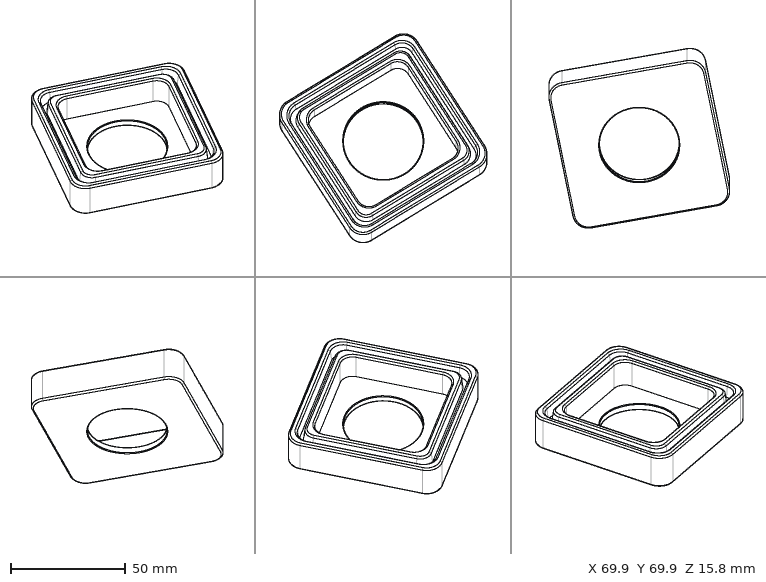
import cadquery as cq
import math

side = 69.85
height = 15.85
corner_radius = 7.0
edge_chamfer = 0.85

rim_width = 3.2
groove_floor_inset = 4.0
groove_outer_radius = 5.95
wall_foot_inset = 5.6
wall_top_inset = 6.3
wall_foot_radius = 5.7
groove_depth = 6.0

pocket_inset = 9.6
pocket_radius = 5.6
floor_thickness = 3.2
hole_diameter = 34.9
hole_chamfer = 0.35


def rounded_block(inset, radius, bottom, block_height, taper=0):
    """Rounded square block, set in from the outer sides; positive taper narrows it upward."""
    width = side - 2 * inset
    profile = cq.Sketch().rect(width, width).vertices().fillet(radius)
    return cq.Workplane("XY").workplane(offset=bottom).placeSketch(profile).extrude(block_height, taper=taper)


def make_groove():
    """Square ring leaning inward going down the rim side and outward going down the wall side."""
    floor_height = height - groove_depth
    outer_draft = math.degrees(math.atan((groove_floor_inset - rim_width) / groove_depth))
    wall_draft = math.degrees(math.atan((wall_top_inset - wall_foot_inset) / groove_depth))
    floor_radius = groove_outer_radius - (groove_floor_inset - rim_width)
    outside = rounded_block(groove_floor_inset, floor_radius, floor_height, groove_depth, -outer_draft)
    core = rounded_block(wall_foot_inset, wall_foot_radius, floor_height, groove_depth, wall_draft)
    return outside.cut(core)


body = rounded_block(0, corner_radius, 0, height)
body = body.cut(make_groove())
body = body.cut(rounded_block(pocket_inset, pocket_radius, floor_thickness, height - floor_thickness))

body = body.faces(">Z").edges().chamfer(edge_chamfer)
body = body.faces("<Z").edges().chamfer(edge_chamfer)

hole = cq.Workplane("XY").circle(hole_diameter / 2).extrude(floor_thickness)
body = body.cut(hole)
result = body.edges("%CIRCLE").edges(cq.selectors.RadiusNthSelector(-1)).chamfer(hole_chamfer)